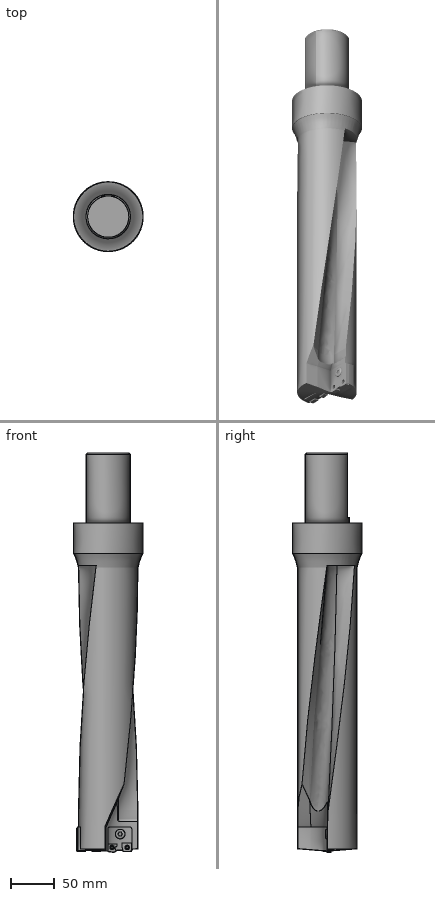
import cadquery as cq
import math


total_length = 456.0
shank_radius = 50.5 / 2
shank_chamfer = 2.0
shank_flat_y = 23.3
shank_flat_bottom = 382.0
flange_radius = 80.0 / 2
flange_top = 376.0
flange_bottom = 341.0
neck_bottom = 324.5
neck_top_radius = 39.0
neck_middle_radius = 36.0
barrel_radius = 33.95
rim_height = 4.0
point_height = 1.5

flute_bottom = 34.5
twist_start = 48.0
flute_top = 327.5
flute_end_fillet = 3.0
start_angle = 0.2
twist_rate = 0.2303
flute_face_inner = (12.0, -1.0)
flute_root = (6.0, 7.5)
flute_flank_inner = (9.5, 20.0)
flute_flank_outer = (16.5, 35.5)

clear_radius = 41.0
below_tip = -4.5

seat_margin = 2.0
gash_wall_top = 29.0
gash_lean = 23.5
gash_bend_y = -18.5
gash_opening = 6.0

seat_proud = 0.5
seat_thickness = 12.0
seat_bottom = 2.5
seat_width = 27.5
seat_corner = 2.7
inner_seat_x = -0.5
outer_seat_x = 8.5
cutting_radius = 36.25
screw_radius = 11.0 / 2
screw_offset = 14.0
screw_height = 21.0
screw_dome = 1.5
screw_edge_fillet = 1.25
socket_width = 5.0

insert_thickness = 4.5
insert_bottom = 1.0
insert_top = 10.5
insert_side = insert_top - insert_bottom
insert_gap = 17.5
insert_hole_radius = 5.0 / 2
insert_bore_radius = 4.0 / 2
insert_hole_depth = 2.0
tapped_hole_radius = 3.0 / 2
tapped_hole_depth = 9.0


def half_turn(shape):
    return shape.rotate((0, 0, 0), (0, 0, 1), 180)


def in_place(shape):
    return shape


def front_prism(outline, front, back):
    """Prism with an XZ outline, reaching from Y = front to Y = back."""
    return cq.Workplane("XZ", origin=(0, back, 0)).polyline(outline).close().extrude(back - front)


def front_cylinder(x, z, radius, front, back):
    """Cylinder along Y from Y = front to Y = back."""
    return cq.Workplane("XZ", origin=(x, back, z)).circle(radius).extrude(back - front)


def turned_blank():
    neck_middle = (neck_middle_radius, (flange_bottom + neck_bottom) / 2)
    return (
        cq.Workplane("XZ")
        .moveTo(0, point_height)
        .lineTo(barrel_radius, rim_height)
        .lineTo(barrel_radius, neck_bottom)
        .threePointArc(neck_middle, (neck_top_radius, flange_bottom))
        .lineTo(flange_radius, flange_bottom)
        .lineTo(flange_radius, flange_top)
        .lineTo(shank_radius, flange_top)
        .lineTo(shank_radius, total_length - shank_chamfer)
        .lineTo(shank_radius - shank_chamfer, total_length)
        .lineTo(0, total_length)
        .close()
        .revolve(360, (0, 0, 0), (0, 1, 0))
    )


def shank_flat():
    flat_length = total_length - shank_flat_bottom
    return (
        cq.Workplane("XY", origin=(0, shank_flat_y + shank_radius, shank_flat_bottom))
        .box(2 * shank_radius, 2 * shank_radius, flat_length, centered=(True, True, False))
    )


def flute_section(height):
    """Groove section: cutting face along +X, open towards -Y."""
    return (
        cq.Workplane("XY", origin=(0, 0, height))
        .moveTo(clear_radius, -flute_face_inner[1])
        .lineTo(flute_face_inner[0], -flute_face_inner[1])
        .threePointArc(
            (flute_root[0], -flute_root[1]),
            (flute_flank_inner[0], -flute_flank_inner[1]),
        )
        .lineTo(flute_flank_outer[0], -flute_flank_outer[1])
        .lineTo(clear_radius, -clear_radius)
        .close()
    )


def flute():
    twisted_length = flute_top - twist_start
    straight = flute_section(flute_bottom).extrude(twist_start - flute_bottom)
    straight = straight.faces("<Z").edges().fillet(flute_end_fillet)
    twisted = flute_section(twist_start).twistExtrude(twisted_length, twist_rate * twisted_length)
    return [part.rotate((0, 0, 0), (0, 0, 1), start_angle) for part in (straight, twisted)]


def gash(gash_wall_x):
    """Cut with an upright, then leaning wall, and the same cut swung open at its outer part."""
    lean_height = (clear_radius - gash_wall_x) / math.tan(math.radians(gash_lean))
    outline = [
        (gash_wall_x, below_tip),
        (gash_wall_x, gash_wall_top),
        (clear_radius, gash_wall_top + lean_height),
        (clear_radius, below_tip),
    ]
    inner = front_prism(outline, -clear_radius, 0)
    outer = front_prism(outline, -clear_radius, gash_bend_y)
    hinge = (gash_wall_x, gash_bend_y)
    outer = outer.rotate((*hinge, 0), (*hinge, 1), -gash_opening)
    return [inner, outer]


def seat(inner_x):
    """Raised insert seat with rounded upper corners, trimmed to the cutting circle."""
    height = gash_wall_top - seat_bottom
    block = (
        cq.Workplane("XY", origin=(inner_x, -seat_proud, seat_bottom))
        .box(seat_width, seat_thickness + seat_proud, height, centered=False)
        .edges("|Y and >Z")
        .fillet(seat_corner)
    )
    cutting_cylinder = cq.Workplane("XY").circle(cutting_radius).extrude(gash_wall_top)
    return block.intersect(cutting_cylinder)


def clamp_screw(inner_x):
    """Domed screw head with a hexagon socket."""
    x = inner_x + screw_offset
    head = front_cylinder(x, screw_height, screw_radius, -seat_proud - screw_dome, 0)
    head = head.faces("<Y").edges().fillet(screw_edge_fillet)
    socket = (
        cq.Workplane("XZ", origin=(x, 0, screw_height))
        .polygon(6, socket_width)
        .extrude(clear_radius)
    )
    return head.cut(socket)


def insert_blank(inner_x, outline):
    """Flat insert without its hole."""
    points = [(inner_x + x, insert_bottom + z) for x, z in outline]
    return front_prism(points, -seat_proud, insert_thickness)


def insert(inner_x, outline):
    """Insert with a stepped screw hole."""
    x = inner_x + insert_side / 2
    z = insert_bottom + insert_side / 2
    head_hole = front_cylinder(x, z, insert_hole_radius, -seat_proud, insert_hole_depth)
    bore = front_cylinder(x, z, insert_bore_radius, -seat_proud, insert_thickness)
    return insert_blank(inner_x, outline).cut(head_hole).cut(bore)


def tapped_hole(inner_x):
    return front_cylinder(
        inner_x + insert_side / 2,
        insert_bottom + insert_side / 2,
        tapped_hole_radius,
        0,
        tapped_hole_depth,
    )


waisted_height = 8.5
waisted_width = 10.5
waisted_outline = [
    (0, 0),
    (0, waisted_height),
    (waisted_width, waisted_height),
    (waisted_width, 6.5),
    (7.8, 4.5),
    (9.5, 0.5),
    (7.0, -insert_bottom),
]
square_overhang = 1.0
square_outline = [
    (0, 0),
    (-square_overhang, insert_side / 2),
    (-square_overhang, insert_side),
    (insert_side, insert_side),
    (insert_side, 0),
]


seats = [(inner_seat_x, in_place), (outer_seat_x, half_turn)]
insert_places = [
    (inner_seat_x, waisted_outline, in_place),
    (inner_seat_x + insert_gap, square_outline, in_place),
    (outer_seat_x, square_outline, half_turn),
    (outer_seat_x + insert_gap, square_outline, half_turn),
]

body = turned_blank().cut(shank_flat())
for groove in flute():
    body = body.cut(groove).cut(half_turn(groove))
for inner_x, place in seats:
    for clearance in gash(inner_x - seat_margin):
        body = body.cut(place(clearance))
for inner_x, place in seats:
    body = body.union(place(seat(inner_x))).union(place(clamp_screw(inner_x)))

inserts = []
for inner_x, outline, place in insert_places:
    recess = insert_blank(inner_x, outline).union(tapped_hole(inner_x))
    body = body.cut(place(recess))
    inserts.append(place(insert(inner_x, outline)))

result = cq.Compound.makeCompound(
    [body.solids().val(), *[plate.solids().val() for plate in inserts]]
)